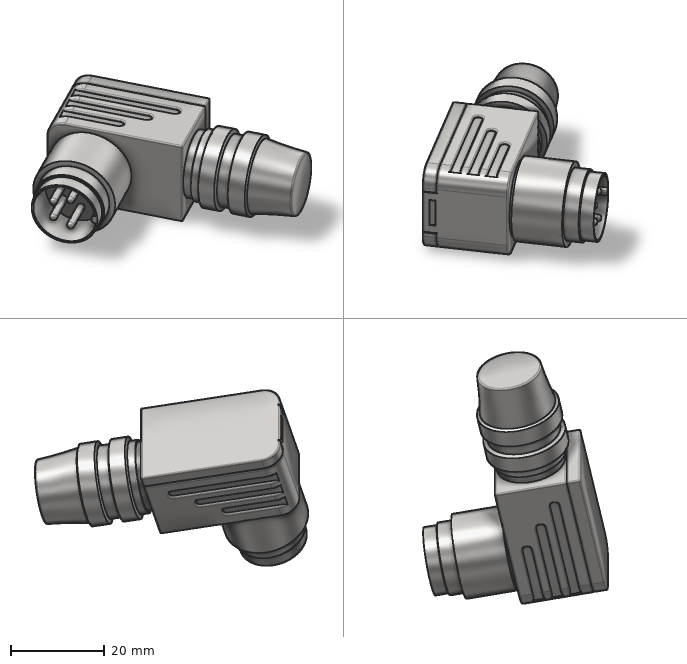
import cadquery as cq
import math


housing_length = 30.7
housing_depth = 18.8
housing_height = 20.0
corner_radius = 4.0
edge_radius = 0.35
lid_thickness = 3.0
lid_plane_y = housing_depth - lid_thickness

tongue_width = 9.9
tongue_thickness = 2 * edge_radius
tongue_gap = 0.15
window_width = 6.2
window_depth = 0.3
window_base_depth = 1.2
window_mouth_depth = 1.5

slot_width = 2.05
slot_depth = 0.55
slot_brim_radius = 0.35
slot_pitch = 4.0
first_slot_end = 16.05
slot_end_step = 5.0
slot_count = 3

socket_x = 10.05
socket_neck_radius = 8.35
socket_neck_end = 0.65
coupling_radius = 9.3
coupling_end = 11.75
collar_radius = 8.0
collar_end = 15.3
rim_radius = 7.5
socket_end = 18.3
collar_chamfer = 0.15
bore_radius = 7.05
bore_depth = 8.05
key_radius = 1.0

pin_radius = 0.8
pin_circle_radius = 3.5
pin_tip_inset = 0.15
pin_angle_step = 72
pin_places = (1, 2, 3, 4)

gland_y = 8.05
gland_neck_radius = 7.55
gland_neck_end = 32.55
sleeve_radius = 8.05
ring_radius = 9.0
first_ring_start = 34.25
first_ring_end = 38.5
second_ring_start = 41.0
second_ring_end = 45.45
ring_flank = 0.35
tail_start_radius = 8.3
tail_end_radius = 7.05
tail_sag = 0.14
tail_end_rounding = 0.4
gland_end = 55.0


def rounded_block(y_start, y_end):
    """Full-outline housing slice between two Y positions, with rounded left corners and rims."""
    depth = y_end - y_start
    block = cq.Workplane("XY").box(housing_length, depth, housing_height, centered=(False, False, True))
    block = block.edges("<X and |Y").fillet(corner_radius)
    return block.faces("<Y or >Y or >X").edges().fillet(edge_radius).translate((0, y_start, 0))


def cut_grip_slots(box):
    """Cut slots with rounded brims into the top and bottom; they run out through the left corners."""
    slotted = box
    for index in range(slot_count):
        end_x = first_slot_end + slot_end_step * index
        straight = end_x - slot_width / 2
        slot = (
            cq.Workplane("XY", origin=(0, slot_pitch * (index + 1), 0))
            .moveTo(-slot_width, -slot_width / 2)
            .lineTo(straight, -slot_width / 2)
            .threePointArc((end_x, 0), (straight, slot_width / 2))
            .lineTo(-slot_width, slot_width / 2)
            .close()
            .extrude(housing_height, both=True)
        )
        slotted = slotted.cut(slot)
    slotted = slotted.faces(">Z").edges("%CIRCLE").fillet(slot_brim_radius)
    core = box.intersect(
        cq.Workplane("XY").box(3 * housing_length, 3 * housing_depth, housing_height - 2 * slot_depth)
    )
    return slotted.union(core)


def left_face_strip(thickness, width, y_start, z=0.0):
    """Block on the left face, from a Y position to the back of the housing, centred on a height."""
    depth = housing_depth - y_start
    strip = cq.Workplane("XY").box(thickness, depth, width, centered=(False, False, True))
    return strip.translate((0, y_start, z))


def make_latch_window():
    """Shallow recess in the tongue; the wall next to the lid plane slopes."""
    back_y = lid_plane_y + window_mouth_depth
    outline = [
        (0, back_y),
        (window_depth, back_y),
        (window_depth, back_y - window_base_depth),
        (0, lid_plane_y),
    ]
    return cq.Workplane("XY").polyline(outline).close().extrude(window_width / 2, both=True)


def make_housing():
    box = rounded_block(0, lid_plane_y)
    lid = rounded_block(lid_plane_y, housing_depth)
    tongue = left_face_strip(tongue_thickness, tongue_width, lid_plane_y - edge_radius)
    tongue = tongue.edges("<X and >Y").fillet(edge_radius)
    housing = cut_grip_slots(box).union(lid).union(tongue)
    for side in (-1, 1):
        gap_z = side * (tongue_width + tongue_gap) / 2
        housing = housing.cut(left_face_strip(edge_radius, tongue_gap, lid_plane_y, gap_z))
    return housing.cut(make_latch_window())


def socket_cylinder(radius, start, end, x=socket_x, z=0.0):
    """Cylinder parallel to the socket axis, between two distances out from the socket face."""
    plane = cq.Plane(origin=(x, -start, z), xDir=(1, 0, 0), normal=(0, -1, 0))
    return cq.Workplane(plane).circle(radius).extrude(end - start)


def make_pin(angle):
    """Pin standing on the bore floor, with a hemispherical tip."""
    x = socket_x + pin_circle_radius * math.cos(angle)
    z = pin_circle_radius * math.sin(angle)
    tip_centre = socket_end - pin_tip_inset - pin_radius
    pin = socket_cylinder(pin_radius, socket_end - bore_depth, tip_centre, x, z)
    tip = cq.Workplane("XY").sphere(pin_radius).translate((x, -tip_centre, z))
    return pin.union(tip)


def make_socket():
    """Stepped hollow socket with a half-round key along the bore and four contact pins."""
    socket = socket_cylinder(socket_neck_radius, 0, socket_neck_end)
    socket = socket.union(socket_cylinder(coupling_radius, socket_neck_end, coupling_end))
    collar = socket_cylinder(collar_radius, coupling_end, collar_end)
    socket = socket.union(collar.faces("<Y").chamfer(collar_chamfer))
    rim = socket_cylinder(rim_radius, collar_end, socket_end)
    socket = socket.union(rim)
    floor = socket_end - bore_depth
    bore = socket_cylinder(bore_radius, floor, socket_end)
    key = socket_cylinder(key_radius, floor, socket_end, socket_x + bore_radius)
    socket = socket.cut(bore.cut(key))
    for place in pin_places:
        socket = socket.union(make_pin(math.radians(pin_angle_step * place)))
    return socket


def make_gland():
    """Turned gland: neck, sleeve with two cone-flanked rings, and a tapered, slightly hollow tail."""

    def at(x, radius):
        return (x, gland_y + radius)

    tail_middle = at(
        (second_ring_end + gland_end) / 2,
        (tail_start_radius + tail_end_radius) / 2 - tail_sag,
    )
    outline = [
        at(housing_length, 0),
        at(housing_length, gland_neck_radius),
        at(gland_neck_end, gland_neck_radius),
        at(gland_neck_end, sleeve_radius),
        at(first_ring_start, sleeve_radius),
        at(first_ring_start + ring_flank, ring_radius),
        at(first_ring_end - ring_flank, ring_radius),
        at(first_ring_end, sleeve_radius),
        at(second_ring_start, sleeve_radius),
        at(second_ring_start + ring_flank, ring_radius),
        at(second_ring_end - ring_flank, ring_radius),
        at(second_ring_end, tail_start_radius),
    ]
    gland = (
        cq.Workplane("XY")
        .polyline(outline)
        .threePointArc(tail_middle, at(gland_end, tail_end_radius))
        .lineTo(*at(gland_end, 0))
        .close()
        .revolve(360, at(0, 0), at(1, 0))
    )
    return gland.faces(">X").edges().fillet(tail_end_rounding)


result = make_housing().union(make_socket()).union(make_gland())